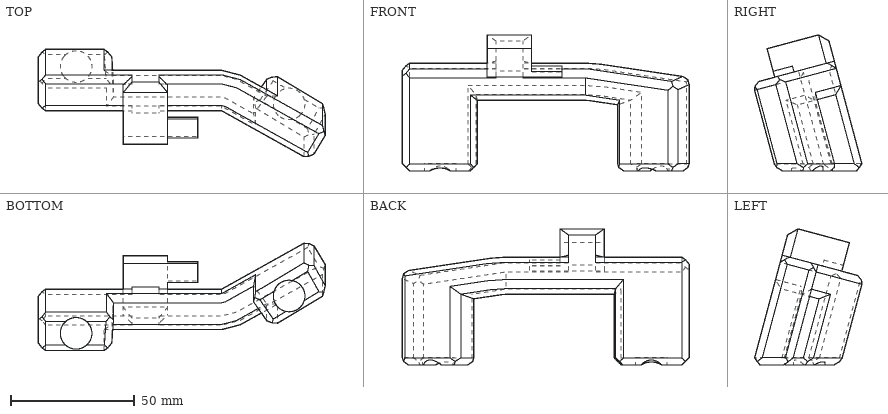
import cadquery as cq
import math

LEAN = 15.0
BEND = 30.0
THICKNESS = 15.1
HEIGHT = 42.1
BAR_UNDERSIDE = 28.9
EDGE_CHAMFER = 3.0
LEFT_ARM = 74.3
LEFT_LEG_WIDTH = 30.7
LEFT_LEG_TAPER = 1.0
RIGHT_ARM = 41.5
RIGHT_LEG_WIDTH = 28.6
RIGHT_LEG_TAPER = 1.5
HOLE_DIAMETER = 12.8
HOLE_DEPTH = 3.0

BLOCK_LEFT = 34.4
BLOCK_WIDTH = 18.0
BLOCK_HEIGHT = 12.0
BLOCK_OVERHANG = 10.0
BLOCK_CHAMFER = 3.5
TAB_LENGTH = 12.2
TAB_DEPTH = 8.1
TAB_THICKNESS = 2.5

FOOT_DROP = THICKNESS * math.tan(math.radians(LEAN))
BAR_HEIGHT = HEIGHT - BAR_UNDERSIDE
OVERSIZE = 232.7
TOLERANCE = 0.01


def box(x, y, z, length, depth, height):
    """Box placed by its minimum corner."""
    return cq.Workplane("XY").box(length, depth, height, centered=False).translate((x, y, z))


def lean(shape):
    return shape.rotate((0, 0, 0), (1, 0, 0), LEAN)


def chamfer_with_sharp_corners(solid, is_plain=lambda edge: False):
    """Chamfer a box-like solid so that the chamfers run on until they meet.

    The edges are taken in three sets, nearest to X, Y and Z, and the three results intersected.
    """
    chamfered = solid
    for axis in range(3):

        def belongs(edge):
            run = (edge.endPoint() - edge.startPoint()).toTuple()
            sizes = [abs(size) for size in run]
            return sizes[axis] == max(sizes) and not is_plain(edge)

        chamfered = chamfered.intersect(solid.edges().filter(belongs).chamfer(EDGE_CHAMFER))
    return chamfered


def make_arm(length, leg_inner, leg_taper, outer_end, turn=0.0, shift=0.0):
    """Bar with one leg, chamfered all over except at the end that meets the bend.

    outer_end is the X of the free end, leg_inner that of the leg's inner side on the front face.
    The arm is turned about Z, shifted along X and leaned.
    """
    bend_end = length - outer_end
    taper = math.copysign(leg_taper, outer_end - leg_inner)
    bar = box(0, 0, BAR_UNDERSIDE, length, THICKNESS, BAR_HEIGHT)
    leg = (
        cq.Workplane("XY", origin=(0, 0, -FOOT_DROP))
        .polyline([
            (outer_end, 0),
            (leg_inner, 0),
            (leg_inner + taper, THICKNESS),
            (outer_end, THICKNESS),
        ])
        .close()
        .extrude(HEIGHT + FOOT_DROP)
    )
    floor = box(-OVERSIZE / 2, -OVERSIZE / 2, -OVERSIZE, OVERSIZE, OVERSIZE, OVERSIZE)
    floor = floor.rotate((0, 0, 0), (1, 0, 0), -LEAN).rotate((0, 0, 0), (0, 0, 1), -turn)

    def at_bend(edge):
        return abs(edge.Center().x - bend_end) < TOLERANCE

    bar = chamfer_with_sharp_corners(bar, at_bend)
    leg = chamfer_with_sharp_corners(leg.cut(floor))
    arm = bar.union(leg)
    return lean(arm.rotate((0, 0, 0), (0, 0, 1), turn).translate((shift, 0, 0)))


def make_bend():
    """Flat-backed wedge between the arms, its section squeezed by the half turn."""
    angle = math.radians(BEND)
    depth = THICKNESS * math.cos(angle / 2)
    inset = EDGE_CHAMFER * math.cos(angle / 2)
    low, high = BAR_UNDERSIDE, HEIGHT
    section = [
        (0, low + EDGE_CHAMFER),
        (inset, low),
        (depth - inset, low),
        (depth, low + EDGE_CHAMFER),
        (depth, high - EDGE_CHAMFER),
        (depth - inset, high),
        (inset, high),
        (0, high - EDGE_CHAMFER),
    ]
    bar = cq.Workplane("YZ").polyline(section).close().extrude(THICKNESS, both=True)
    wedge = (
        cq.Workplane("XY", origin=(0, 0, low))
        .polyline([
            (0, 0),
            (THICKNESS * math.sin(angle), THICKNESS * math.cos(angle)),
            (0, THICKNESS),
        ])
        .close()
        .extrude(BAR_HEIGHT)
    )
    bend = bar.rotate((0, 0, 0), (0, 0, 1), -BEND / 2).intersect(wedge)
    return lean(bend.translate((LEFT_ARM, 0, 0)))


def make_handle():
    """Left arm, bend and right arm, joined along the front face line."""
    left = make_arm(LEFT_ARM, LEFT_LEG_WIDTH, LEFT_LEG_TAPER, outer_end=0)
    right = make_arm(
        RIGHT_ARM, RIGHT_ARM - RIGHT_LEG_WIDTH, RIGHT_LEG_TAPER, outer_end=RIGHT_ARM,
        turn=-BEND, shift=LEFT_ARM,
    )
    return left.union(make_bend()).union(right)


def make_block():
    """Overhanging block on the bar, with its neck and side tab."""
    block = box(
        BLOCK_LEFT, -BLOCK_OVERHANG, HEIGHT, BLOCK_WIDTH, THICKNESS + BLOCK_OVERHANG, BLOCK_HEIGHT
    )
    block = block.faces(">Y").edges("|Z or >Z").chamfer(BLOCK_CHAMFER)
    neck = box(
        BLOCK_LEFT + BLOCK_CHAMFER, 0, HEIGHT - EDGE_CHAMFER,
        BLOCK_WIDTH - 2 * BLOCK_CHAMFER, THICKNESS, EDGE_CHAMFER,
    )
    tab = box(BLOCK_LEFT + BLOCK_WIDTH, -BLOCK_OVERHANG, HEIGHT, TAB_LENGTH, TAB_DEPTH, TAB_THICKNESS)
    return lean(block.union(neck).union(tab))


def make_foot_holes():
    """Vertical blind holes centred on the midline of each leg where it meets the floor."""
    angle = math.radians(BEND)
    middle = THICKNESS / 2
    along = RIGHT_ARM - RIGHT_LEG_WIDTH / 2
    left_centre = (LEFT_LEG_WIDTH / 2, middle)
    right_centre = (
        LEFT_ARM + along * math.cos(angle) + middle * math.sin(angle),
        middle * math.cos(angle) - along * math.sin(angle),
    )
    stretch = 1 / math.cos(math.radians(LEAN))
    centres = [(x, y * stretch) for x, y in (left_centre, right_centre)]
    return cq.Workplane("XY").pushPoints(centres).circle(HOLE_DIAMETER / 2).extrude(HOLE_DEPTH)


result = make_handle().union(make_block()).cut(make_foot_holes())